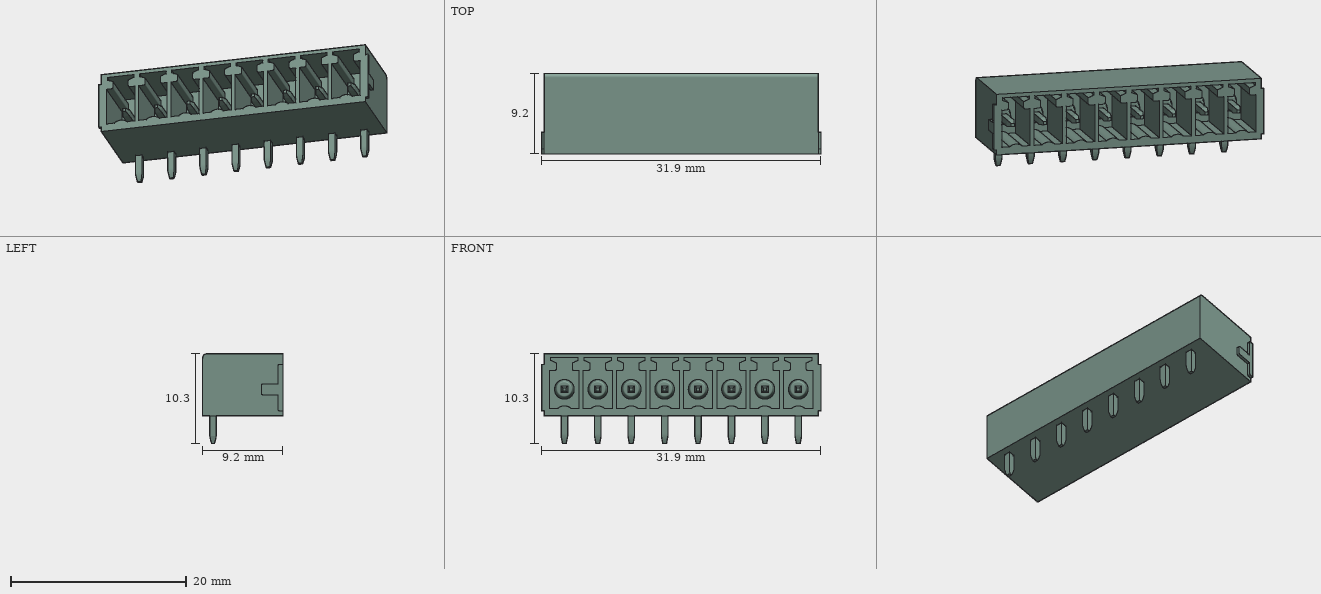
import cadquery as cq
import math


contact_count = 8
pitch = 3.81
contact_xs = [(i - (contact_count - 1) / 2) * pitch for i in range(contact_count)]
contact_z = 3.04

overall_length = 31.87
overall_height = 10.25
lug_thickness = 0.3
block_length = overall_length - 2 * lug_thickness
block_depth = 9.2
block_height = 7.1
rear_edge_radius = 0.5

partition_thickness = 0.46
chamber_width = pitch - partition_thickness
cavity_depth = 6.6
floor_z = 0.87
chamber_top_z = 5.19
neck_width = 1.8
neck_top_z = 6.05
keyway_width = 3.15
keyway_slope_top_z = 6.34
keyway_top_z = 6.65
neck_corner_radius = 0.2

ridge_radius = 1.15

boss_face_radius = 0.75
boss_edge_radius = 0.17
boss_shoulder_radius = boss_face_radius + boss_edge_radius
boss_foot_radius = 1.12
boss_height = 1.0

lug_bar_depth = 0.6
lug_bar_bottom_z = 0.58
lug_bar_top_z = 5.88
lug_tongue_reach = 2.5
lug_tongue_width = 1.26
lug_corner_radius = 0.2

pin_size = 0.77
pin_tip_y = 1.45
pin_tip_length = 1.0
pin_tip_size = 0.36
leg_y = 8.0
leg_end_z = block_height - overall_height
leg_taper_start_z = -2.3
leg_end_width = 0.45
leg_curve_start_z = -2.02
leg_end_depth = 0.3


def make_block():
    block = cq.Workplane("XY").box(block_length, block_depth, block_height, centered=(True, False, False))
    return block.edges(">Y and >Z").fillet(rear_edge_radius)


def make_end_lug(inner_x):
    """T-shaped lug growing lug_thickness in +X from the plane X = inner_x."""
    plane = cq.Workplane("YZ", origin=(inner_x, 0, 0))
    bar_height = lug_bar_top_z - lug_bar_bottom_z
    bar_middle_z = (lug_bar_top_z + lug_bar_bottom_z) / 2
    bar = plane.center(lug_bar_depth / 2, bar_middle_z).rect(lug_bar_depth, bar_height).extrude(lug_thickness)
    tongue = (
        plane.center(lug_tongue_reach / 2, contact_z)
        .rect(lug_tongue_reach, lug_tongue_width)
        .extrude(lug_thickness)
    )
    return bar.edges("|X and >Y").fillet(lug_corner_radius).union(
        tongue.edges("|X and >Y").fillet(lug_corner_radius)
    )


def make_boss(x):
    """Boss with a rounded front edge and a side that widens towards the back wall."""
    front = boss_height
    diagonal = math.sqrt(0.5)
    edge_middle = (
        boss_face_radius + boss_edge_radius * diagonal,
        front - boss_edge_radius * (1 - diagonal),
    )
    half_section = (
        cq.Workplane("XY")
        .lineTo(0, front)
        .lineTo(boss_face_radius, front)
        .threePointArc(edge_middle, (boss_shoulder_radius, front - boss_edge_radius))
        .lineTo(boss_foot_radius, 0)
        .close()
    )
    boss = half_section.revolve(360, (0, 0, 0), (0, 1, 0))
    return boss.rotate((0, 0, 0), (0, 0, 1), 180).translate((x, cavity_depth, contact_z))


def make_cavity(x):
    """Space taken out of the block for one contact: chamber, neck and keyway, less the ridge and boss."""
    half_chamber = chamber_width / 2
    half_neck = neck_width / 2
    half_keyway = keyway_width / 2
    half_outline = [
        (half_chamber, floor_z),
        (half_chamber, chamber_top_z),
        (half_neck, chamber_top_z),
        (half_neck, neck_top_z),
        (half_keyway, keyway_slope_top_z),
        (half_keyway, keyway_top_z),
    ]
    mirrored_half = [(-px, pz) for px, pz in reversed(half_outline)]
    cavity = (
        cq.Workplane("XZ", origin=(x, 0, 0))
        .polyline(half_outline + mirrored_half)
        .close()
        .extrude(-cavity_depth)
    )
    neck_corners = cq.selectors.BoxSelector(
        (x - half_neck - neck_corner_radius, 0, chamber_top_z - neck_corner_radius),
        (x + half_neck + neck_corner_radius, cavity_depth, chamber_top_z + neck_corner_radius),
    )
    cavity = cavity.edges("|Y").edges(neck_corners).fillet(neck_corner_radius)
    ridge = cq.Workplane("XZ", origin=(x, 0, 0)).circle(ridge_radius).extrude(-cavity_depth)
    return cavity.cut(ridge).cut(make_boss(x))


def make_contact_pin(x):
    """Square pin bent down at the rear: pointed contact arm and tapered solder leg."""
    half_pin = pin_size / 2
    arm_start_y = pin_tip_y + pin_tip_length
    rear_y = leg_y + half_pin
    arm = cq.Workplane("XY").box(pin_size, rear_y - arm_start_y, pin_size, centered=(True, False, True))
    arm = arm.translate((x, arm_start_y, contact_z))
    tip = (
        cq.Workplane("XZ", origin=(x, arm_start_y, contact_z))
        .rect(pin_size, pin_size)
        .workplane(offset=pin_tip_length)
        .rect(pin_tip_size, pin_tip_size)
        .loft(ruled=True)
    )
    return arm.union(tip).union(make_solder_leg(x))


def make_solder_leg(x):
    """Leg whose end narrows straight in X and along tangent arcs in Y."""
    half_pin = pin_size / 2
    half_end_width = leg_end_width / 2
    half_end_depth = leg_end_depth / 2
    width_outline = (
        cq.Workplane("XZ", origin=(x, leg_y, 0))
        .moveTo(-half_pin, contact_z)
        .lineTo(-half_pin, leg_taper_start_z)
        .lineTo(-half_end_width, leg_end_z)
        .lineTo(half_end_width, leg_end_z)
        .lineTo(half_pin, leg_taper_start_z)
        .lineTo(half_pin, contact_z)
        .close()
        .extrude(half_pin, both=True)
    )
    depth_outline = (
        cq.Workplane("YZ", origin=(x, leg_y, 0))
        .moveTo(half_pin, leg_curve_start_z)
        .lineTo(half_pin, contact_z)
        .lineTo(-half_pin, contact_z)
        .lineTo(-half_pin, leg_curve_start_z)
        .tangentArcPoint((-half_end_depth, leg_end_z), relative=False)
        .lineTo(half_end_depth, leg_end_z)
        .threePointArc(leg_curve_middle(half_pin, half_end_depth), (half_pin, leg_curve_start_z))
        .close()
        .extrude(half_pin, both=True)
    )
    return width_outline.intersect(depth_outline)


def leg_curve_middle(start_offset, end_offset):
    """Midpoint of the arc that leaves the leg face tangentially and ends at the leg's end."""
    drop = leg_curve_start_z - leg_end_z
    inset = start_offset - end_offset
    radius = (drop**2 + inset**2) / (2 * inset)
    half_angle = math.asin(drop / radius) / 2
    return (
        start_offset - radius * (1 - math.cos(half_angle)),
        leg_curve_start_z - radius * math.sin(half_angle),
    )


pins = [make_contact_pin(x) for x in contact_xs]

housing = make_block()
for inner_x in (-overall_length / 2, block_length / 2):
    housing = housing.union(make_end_lug(inner_x))
for x, pin in zip(contact_xs, pins):
    housing = housing.cut(make_cavity(x)).cut(pin)

result = cq.Compound.makeCompound([housing.val(), *[pin.val() for pin in pins]])